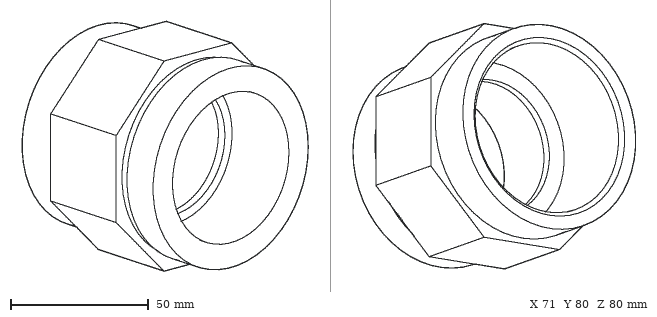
import cadquery as cq

total_length = 71.0
across_flats = 80.0
sides = 8
collar_diameter = 76.0

front_collar_length = total_length / 4
nut_length = total_length / 2
groove_width = 3.6
groove_diameter = 74.4

socket_diameter = 63.0
socket_depth = 36.7
mouth_diameter = 66.2
mouth_depth = 1.6
neck_diameter = 50.0
neck_length = 3.5
rear_bore_diameter = 57.0

front_x = -total_length / 2
rear_x = total_length / 2
nut_x = front_x + front_collar_length
groove_x = nut_x + nut_length
rear_collar_x = groove_x + groove_width
rear_collar_length = rear_x - rear_collar_x
socket_floor_x = front_x + socket_depth
neck_end_x = socket_floor_x + neck_length


def plane_at(x):
    """Plane facing +X, square to the axis at the given x."""
    return cq.Workplane("YZ", origin=(x, 0, 0))


def cylinder(x, length, diameter):
    return plane_at(x).circle(diameter / 2).extrude(length)


def octagonal_nut():
    """Octagon with flats facing Y and Z."""
    outline = plane_at(nut_x).polygon(sides, across_flats, circumscribed=True)
    return outline.extrude(nut_length)


def outer_body():
    body = octagonal_nut()
    body = body.union(cylinder(front_x, front_collar_length, collar_diameter))
    body = body.union(cylinder(groove_x, groove_width, groove_diameter))
    return body.union(cylinder(rear_collar_x, rear_collar_length, collar_diameter))


def stepped_bore():
    """Mouth, socket, neck and rear bore as one profile revolved about X."""
    profile = [
        (front_x, 0),
        (front_x, mouth_diameter / 2),
        (front_x + mouth_depth, socket_diameter / 2),
        (socket_floor_x, socket_diameter / 2),
        (socket_floor_x, neck_diameter / 2),
        (neck_end_x, neck_diameter / 2),
        (neck_end_x, rear_bore_diameter / 2),
        (rear_x, rear_bore_diameter / 2),
        (rear_x, 0),
    ]
    return cq.Workplane("XY").polyline(profile).close().revolve(360, (0, 0, 0), (1, 0, 0))


result = outer_body().cut(stepped_bore())